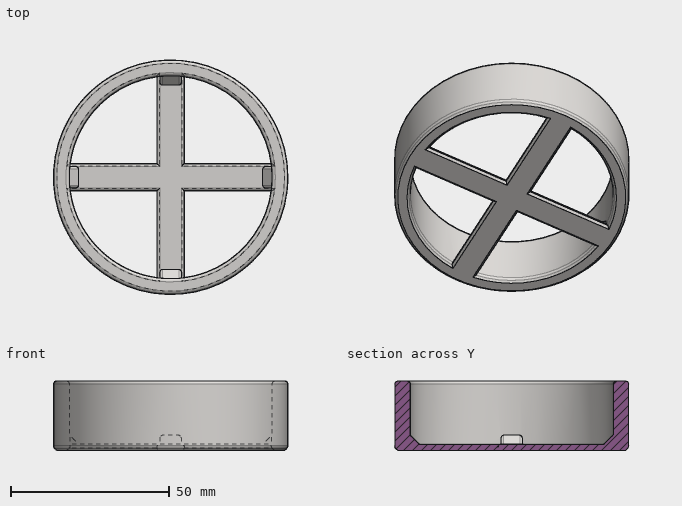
import cadquery as cq

outer_diameter = 74.0
inner_diameter = 64.0
height = 22.0
rim_radius = 1.0
base_chamfer = 1.0
base_blend_radius = 1.3

spoke_width = 8.65
spoke_thickness = 2.0
spoke_edge_radius = 0.9
spoke_base_chamfer = 0.75

gusset_length = 2.95
gusset_height = 2.95
gusset_edge_radius = 0.9
gusset_width = spoke_width - 2 * spoke_edge_radius

outer_radius = outer_diameter / 2
inner_radius = inner_diameter / 2
wall_overlap = (outer_radius - inner_radius) / 2
spoke_reach = inner_radius + wall_overlap


def make_ring():
    """Tube with a rounded top rim and softened chamfers on the bottom edges."""
    ring = cq.Workplane("XY").circle(outer_radius).circle(inner_radius).extrude(height)
    ring = ring.faces(">Z").edges().fillet(rim_radius)
    ring = ring.faces("<Z").edges().chamfer(base_chamfer)
    chamfer_top_edges = cq.selectors.BoxSelector(
        (-outer_radius, -outer_radius, base_chamfer / 2),
        (outer_radius, outer_radius, 2 * base_chamfer),
    )
    return ring.edges(chamfer_top_edges).fillet(base_blend_radius)


def make_cross():
    """Two crossing spokes with long edges rounded on top and chamfered below."""
    spoke = (
        cq.Workplane("XY")
        .box(2 * spoke_reach, spoke_width, spoke_thickness, centered=(True, True, False))
        .edges("|X and >Z")
        .fillet(spoke_edge_radius)
        .edges("|X and <Z")
        .chamfer(spoke_base_chamfer)
    )
    crossing_spoke = spoke.rotate((0, 0, 0), (0, 0, 1), 90)
    return spoke.union(crossing_spoke)


def make_gusset():
    """Wedge on the +X spoke, rising towards the wall, with rounded sides on its slope."""
    toe = inner_radius - gusset_length
    top = spoke_thickness + gusset_height * (spoke_reach - toe) / gusset_length
    return (
        cq.Workplane("XZ")
        .moveTo(toe, spoke_thickness)
        .lineTo(spoke_reach, top)
        .lineTo(spoke_reach, spoke_thickness)
        .close()
        .extrude(gusset_width / 2, both=True)
        .edges("not(|X or |Y or |Z)")
        .fillet(gusset_edge_radius)
    )


result = make_ring().union(make_cross())
gusset = make_gusset()
for angle in (0, 90, 180, 270):
    result = result.union(gusset.rotate((0, 0, 0), (0, 0, 1), angle))